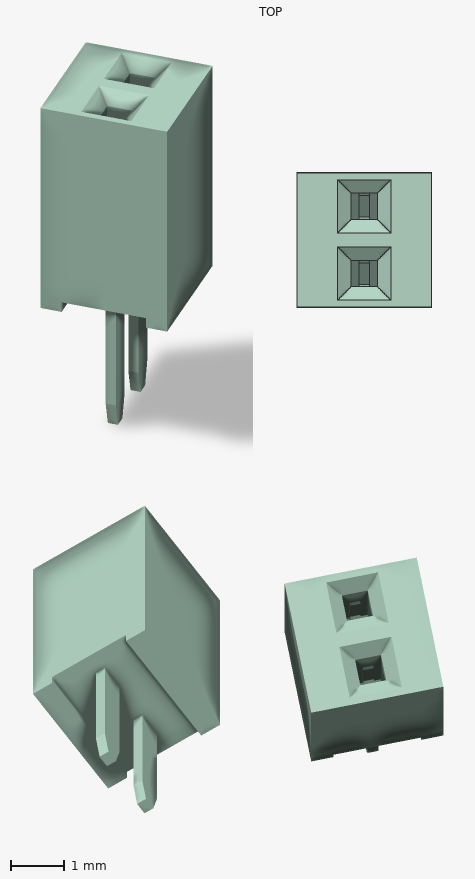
import cadquery as cq

body_side = 2.54
total_height = 7.0
body_height = 4.41

pitch = 1.27
contact_rows = (-pitch / 2, pitch / 2)

foot_width = 0.43
foot_height = 0.21

pin_thickness = 0.2
pin_width = 0.5
tip_width = 0.25
tip_height = 0.5

mouth_side = 1.0
well_side = 0.5
mouth_depth = 0.25
well_depth = 2.45
contact_height = 1.4
base_height = 0.35
gap_length = 0.405
lead_in = (well_side - gap_length) / 2

body_bottom = total_height - body_height
channel_roof = body_bottom + foot_height
well_floor = total_height - well_depth


def make_body():
    """Square housing with a channel along Y across its underside."""
    body = cq.Workplane("XY").workplane(offset=body_bottom).rect(body_side, body_side).extrude(body_height)
    channel = (
        cq.Workplane("XY")
        .workplane(offset=body_bottom)
        .rect(body_side - 2 * foot_width, body_side)
        .extrude(foot_height)
    )
    return body.cut(channel)


def make_socket(y):
    """Cavity of one socket: a tapered mouth above a straight well."""
    mouth = (
        cq.Workplane("XY")
        .workplane(offset=total_height)
        .center(0, y)
        .rect(mouth_side, mouth_side)
        .workplane(offset=-mouth_depth)
        .rect(well_side, well_side)
        .loft(ruled=True)
    )
    well = (
        cq.Workplane("XY")
        .workplane(offset=well_floor)
        .center(0, y)
        .rect(well_side, well_side)
        .extrude(well_depth - mouth_depth)
    )
    return mouth.union(well)


def make_contact(y):
    """Forked contact on the well floor: a base with two tines sloped inward at the top."""
    blank = (
        cq.Workplane("XY")
        .workplane(offset=well_floor)
        .center(0, y)
        .rect(pin_thickness, well_side)
        .extrude(contact_height)
    )
    contact_top = well_floor + contact_height
    gap_bottom = well_floor + base_height
    gap_outline = [
        (y - well_side / 2, contact_top),
        (y + well_side / 2, contact_top),
        (y + gap_length / 2, contact_top - lead_in),
        (y + gap_length / 2, gap_bottom),
        (y - gap_length / 2, gap_bottom),
        (y - gap_length / 2, contact_top - lead_in),
    ]
    gap = cq.Workplane("YZ").polyline(gap_outline).close().extrude(pin_thickness / 2, both=True)
    return blank.cut(gap)


def make_pin(y):
    """Flat pin below the body, narrowing to a blunt tip."""
    outline = [
        (y - tip_width / 2, 0),
        (y + tip_width / 2, 0),
        (y + pin_width / 2, tip_height),
        (y + pin_width / 2, channel_roof),
        (y - pin_width / 2, channel_roof),
        (y - pin_width / 2, tip_height),
    ]
    return cq.Workplane("YZ").polyline(outline).close().extrude(pin_thickness / 2, both=True)


result = make_body()
for row in contact_rows:
    result = result.cut(make_socket(row)).union(make_contact(row)).union(make_pin(row))